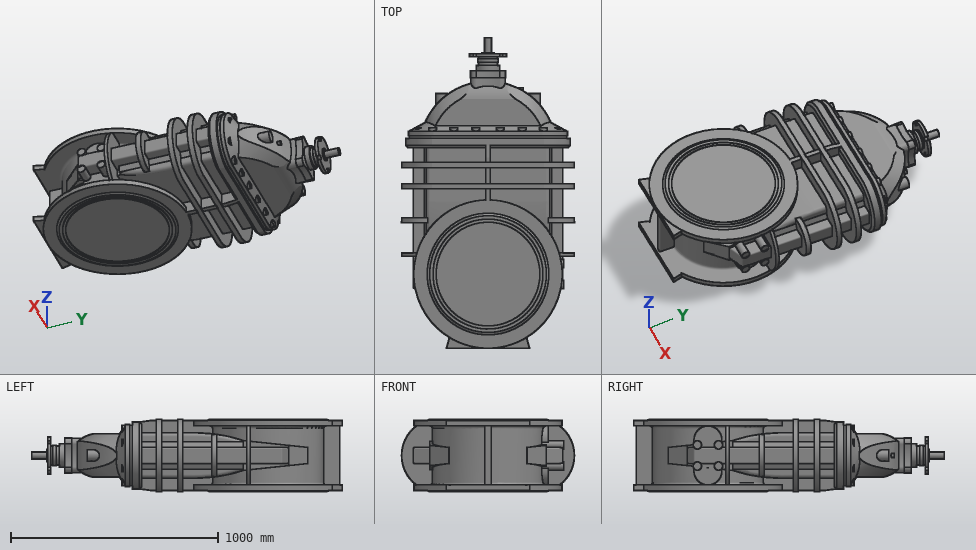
import cadquery as cq
import math


FLANGE_RADIUS = 358.0
FLANGE_OUTER_Z = 169.0
FLANGE_THICKNESS = 27.0
FLANGE_INNER_Z = FLANGE_OUTER_Z - FLANGE_THICKNESS
FACE_Z = 175.0
FACE_RADIUS = 294.0
FACE_STEP_RADIUS = 282.0
BORE_RADIUS = 500.0 / 2
SEAL_GROOVE_RADIUS = 265.0
SEAL_GROOVE_DEPTH = 3.0
BARREL_RADIUS = 268.0
BARREL_FILLET = 12.0

FOOT_HALF_WIDTH = 200.0
FOOT_TOP_HALF_WIDTH = 187.0
FOOT_HEIGHT = 50.0
FOOT_THICKNESS = 25.0
FOOT_WEB_WIDTH = 30.0
FOOT_WEB_SETBACK = 12.0
FOOT_WEB_FILLET = 6.0

HOUSING_TOP_Y = 629.0
HOUSING_HALF_WIDTH = 297.0
HOUSING_HALF_DEPTH = 110.0
HOUSING_TAPER_Y = 349.0
HOUSING_END_Y = 120.0
HOUSING_END_HALF_DEPTH = 72.0
HOUSING_FILLET = 18.0
TAIL_END_Y = -192.0
TAIL_END_HALF_DEPTH = 39.0

RAIL_X = 361.0
RAIL_HALF_DEPTH = 39.0
RAIL_FILLET = 7.0
RAIL_END_Y = -67.0
RAIL_KNEE = (280.0, -100.0)
RAIL_TIP = (189.0, TAIL_END_Y)
RAIL_FOOT_X = 308.0
RAIL_FOOT_HALF_DEPTH = 67.0

RIB_X = 834.0 / 2
RIB_STRAIGHT_X = 270.0
FULL_RIBS = ((512.0, 539.0), (410.0, 436.0))
CRESCENT_RIB = (247.0, 273.0)
CRESCENT_RIB_X = 277.0
CRESCENT_RIB_HALF_DEPTH = 95.0
LOWER_RIB = (85.0, 102.0)
SPINE_WIDTH = 24.0
SPINE_END_Y = 255.0
SPINE_TAPER_Y = 563.0

BODY_FLANGE_X = 397.0
BODY_FLANGE_HALF_DEPTH = 162.0
BODY_FLANGE_BOTTOM_Y = 620.0
BODY_FLANGE_TOP_Y = 655.0
BODY_FLANGE_TAPER = 12.0
BODY_FLANGE_TAPER_INSET = 12.0
BONNET_FLANGE_X = 383.0
BONNET_FLANGE_HALF_DEPTH = 150.0
BONNET_FLANGE_STRAIGHT_X = 264.0
BONNET_FLANGE_STEP_Y = 668.0
BONNET_FLANGE_STEP = 3.0
BONNET_FLANGE_TOP_Y = 687.0
SKIRT_TOP_Y = 731.0
SKIRT_TOP_HALF_DEPTH = 80.0

DOME_CENTRE_Y = 599.0
DOME_RADIUS = 331.0
DOME_HALF_DEPTH = 105.0
DOME_CROWN_Y = 845.0
DOME_CROWN_MID = (888.0, 88.0)
DOME_APEX = (DOME_CENTRE_Y + DOME_RADIUS, 54.0)
CONE_BASE_Y = 738.0
CONE_BASE_RADIUS = 307.0
CONE_TOP_RADIUS = 279.0

BOLT_DIAMETER = 39.0
BOLT_TOP_Y = 705.0
BOLT_PLACES = ((58.0, 127.0), (165.0, 127.0), (267.0, 127.0), (330.0, 60.0))

PIN_DIAMETER = 55.0
PIN_X = 225.0
PIN_TOP_Y = 872.0
PLUG_DIAMETER = 21.0
PLUG_X = 160.0
PLUG_TOP_Y = 898.0
PIN_ROOT_Y = 749.0

HEAD_WIDTH = 170.0
HEAD_LOBE_RADIUS = 55.0 / 2
HEAD_LOBE_CENTRE = HEAD_WIDTH / 2 - HEAD_LOBE_RADIUS
HEAD_WAIST = 76.0
HEAD_BOTTOM_Y = 884.0
HEAD_SPLIT_Y = 946.0
HEAD_SPLIT_STEP = 1.0
HEAD_TOP_Y = 981.0
COLLAR_DIAMETER = 115.0
COLLAR_TOP_Y = 1006.0
NECK_DIAMETER = 100.0
NECK_GROOVE_DIAMETER = 93.0
NECK_GROOVE_TOP_Y = 1021.0
NECK_TOP_Y = 1038.0
DISC_DIAMETER = 180.0
DISC_BOTTOM_Y = 1047.0
DISC_TOP_Y = 1063.0
DISC_SLOT_WIDTH = 20.0
DISC_SLOT_INNER_RADIUS = 69.0
HUB_DIAMETER = 60.0
HUB_TOP_Y = 1068.0
STEM_DIAMETER = 36.0
STEM_TOP_Y = 1498.0 - FLANGE_RADIUS

BOSS_DIAMETER = 40.0
BOSS_X = 365.0
BOSS_Y = 51.0
BOSS_Z = 51.0
BOSS_ROOT_X = 210.0
PAD_WIDTH = 135.0
PAD_LENGTH = 2 * FLANGE_INNER_Z
PAD_X = 290.0


def across(y):
    """Workplane in XZ at height y: local axes are X and Z, extrusion goes to +Y."""
    return cq.Workplane(cq.Plane((0, y, 0), (-1, 0, 0), (0, 1, 0)))


def cylinder_y(diameter, y_bottom, y_top, x=0.0, z=0.0):
    return across(y_bottom).center(-x, z).circle(diameter / 2).extrude(y_top - y_bottom)


def arc_ended(plane, straight_x, end_x, half_depth):
    """Long outline with straight long sides and one arc at each X end."""
    return (
        plane.moveTo(-straight_x, half_depth)
        .lineTo(straight_x, half_depth)
        .threePointArc((end_x, 0), (straight_x, -half_depth))
        .lineTo(-straight_x, -half_depth)
        .threePointArc((-end_x, 0), (-straight_x, half_depth))
        .close()
    )


def arc_ended_plate(straight_x, end_x, half_depth, y_bottom, y_top):
    return arc_ended(across(y_bottom), straight_x, end_x, half_depth).extrude(y_top - y_bottom)


def side_prism(points, half_width):
    """Prism along X from (y, z) points."""
    return cq.Workplane("YZ").polyline(points).close().extrude(half_width, both=True)


def barrel():
    fillet_dip = BARREL_FILLET * (1 - math.sqrt(0.5))
    half = (
        cq.Workplane("XZ")
        .lineTo(BARREL_RADIUS, 0)
        .lineTo(BARREL_RADIUS, FLANGE_INNER_Z - BARREL_FILLET)
        .threePointArc(
            (BARREL_RADIUS + fillet_dip, FLANGE_INNER_Z - fillet_dip),
            (BARREL_RADIUS + BARREL_FILLET, FLANGE_INNER_Z),
        )
        .lineTo(FLANGE_RADIUS, FLANGE_INNER_Z)
        .lineTo(FLANGE_RADIUS, FLANGE_OUTER_Z)
        .lineTo(FACE_RADIUS, FLANGE_OUTER_Z)
        .lineTo(FACE_STEP_RADIUS, FACE_Z)
        .lineTo(SEAL_GROOVE_RADIUS, FACE_Z)
        .lineTo(SEAL_GROOVE_RADIUS, FACE_Z - SEAL_GROOVE_DEPTH)
        .lineTo(BORE_RADIUS, FACE_Z - SEAL_GROOVE_DEPTH)
        .lineTo(BORE_RADIUS, FACE_Z)
        .lineTo(0, FACE_Z)
        .close()
        .revolve(360, (0, 0), (0, 1))
    )
    return half.union(half.mirror("XY"))


def feet():
    bottom = -FLANGE_RADIUS
    foot = (
        cq.Workplane("XY")
        .workplane(offset=FLANGE_INNER_Z)
        .polyline([
            (-FOOT_HALF_WIDTH, bottom),
            (FOOT_HALF_WIDTH, bottom),
            (FOOT_TOP_HALF_WIDTH, bottom + FOOT_HEIGHT),
            (-FOOT_TOP_HALF_WIDTH, bottom + FOOT_HEIGHT),
        ])
        .close()
        .extrude(FOOT_THICKNESS)
    )
    web_length = FLANGE_RADIUS - FOOT_WEB_SETBACK
    web = (
        cq.Workplane("XY")
        .box(FOOT_WEB_WIDTH, web_length, 2 * FLANGE_INNER_Z)
        .edges("|Z and <Y")
        .fillet(FOOT_WEB_FILLET)
        .translate((0, -web_length / 2, 0))
    )
    return foot.union(foot.mirror("XY")).union(web)


def housing():
    upper = (
        cq.Workplane("YZ")
        .moveTo(HOUSING_TOP_Y, HOUSING_HALF_DEPTH)
        .lineTo(HOUSING_TAPER_Y, HOUSING_HALF_DEPTH)
        .tangentArcPoint((HOUSING_END_Y, HOUSING_END_HALF_DEPTH), relative=False)
        .lineTo(HOUSING_END_Y, 0)
        .lineTo(HOUSING_TOP_Y, 0)
        .close()
        .extrude(HOUSING_HALF_WIDTH, both=True)
    )
    upper = upper.union(upper.mirror("XY"))
    outer_corners = upper.faces("<X or >X").edges("not |Z")
    upper = outer_corners.fillet(HOUSING_FILLET)
    tail = side_prism([
        (HOUSING_END_Y, HOUSING_END_HALF_DEPTH),
        (TAIL_END_Y, TAIL_END_HALF_DEPTH),
        (TAIL_END_Y, -TAIL_END_HALF_DEPTH),
        (HOUSING_END_Y, -HOUSING_END_HALF_DEPTH),
    ], RAIL_KNEE[0])
    return upper.union(tail.intersect(rail_prism(HOUSING_HALF_DEPTH)))


def rail_prism(half_depth):
    """Outline across both guide rails, with the lower ends bending in to the barrel."""
    right = [(RAIL_X, HOUSING_TOP_Y), (RAIL_X, RAIL_END_Y), RAIL_KNEE, RAIL_TIP]
    left = [(-x, y) for x, y in reversed(right)]
    return cq.Workplane("XY").polyline(right + left).close().extrude(half_depth, both=True)


def rails():
    rail = rail_prism(RAIL_HALF_DEPTH).faces("<Z or >Z or <X or >X").edges().fillet(RAIL_FILLET)
    root = (
        across(HOUSING_END_Y)
        .polyline([
            (-RAIL_FOOT_X, RAIL_HALF_DEPTH),
            (-HOUSING_HALF_WIDTH, RAIL_FOOT_HALF_DEPTH),
            (HOUSING_HALF_WIDTH, RAIL_FOOT_HALF_DEPTH),
            (RAIL_FOOT_X, RAIL_HALF_DEPTH),
            (RAIL_FOOT_X, -RAIL_HALF_DEPTH),
            (HOUSING_HALF_WIDTH, -RAIL_FOOT_HALF_DEPTH),
            (-HOUSING_HALF_WIDTH, -RAIL_FOOT_HALF_DEPTH),
            (-RAIL_FOOT_X, -RAIL_HALF_DEPTH),
        ])
        .close()
        .extrude(HOUSING_TOP_Y - HOUSING_END_Y)
    )
    return rail.union(root)


def ribs():
    body = cq.Workplane("XY")
    for bottom, top in FULL_RIBS:
        body = body.union(arc_ended_plate(RIB_STRAIGHT_X, RIB_X, FACE_Z, bottom, top))

    bottom, top = CRESCENT_RIB
    body = body.union(
        arc_ended_plate(CRESCENT_RIB_X, RIB_X, CRESCENT_RIB_HALF_DEPTH, bottom, top)
    )

    bottom, top = LOWER_RIB
    between_flanges = cq.Workplane("XY").box(
        2 * RIB_X, 2 * HOUSING_TOP_Y, 2 * FLANGE_INNER_Z
    )
    lower = arc_ended_plate(RIB_STRAIGHT_X, RIB_X, FACE_Z, bottom, top).intersect(between_flanges)
    return body.union(lower)


def spine():
    """Web along the middle of the housing, on both broad sides."""
    return side_prism([
        (SPINE_END_Y, FLANGE_OUTER_Z),
        (SPINE_TAPER_Y, FLANGE_OUTER_Z),
        (BODY_FLANGE_BOTTOM_Y, BODY_FLANGE_HALF_DEPTH),
        (BODY_FLANGE_BOTTOM_Y, -BODY_FLANGE_HALF_DEPTH),
        (SPINE_TAPER_Y, -FLANGE_OUTER_Z),
        (SPINE_END_Y, -FLANGE_OUTER_Z),
    ], SPINE_WIDTH / 2)


def arc_ended_loft(lower, upper, y_bottom, y_top):
    """Tapered plate between two (straight_x, end_x, half_depth) outlines."""
    start = arc_ended(across(y_bottom), *lower)
    return arc_ended(start.workplane(offset=y_top - y_bottom), *upper).loft(ruled=True)


def joint_flanges():
    body_outline = (RIB_STRAIGHT_X, BODY_FLANGE_X, BODY_FLANGE_HALF_DEPTH)
    tapered_outline = (
        RIB_STRAIGHT_X,
        BODY_FLANGE_X - BODY_FLANGE_TAPER_INSET,
        BODY_FLANGE_HALF_DEPTH - BODY_FLANGE_TAPER_INSET,
    )
    bonnet_outline = (BONNET_FLANGE_STRAIGHT_X, BONNET_FLANGE_X, BONNET_FLANGE_HALF_DEPTH)
    step_outline = (
        BONNET_FLANGE_STRAIGHT_X,
        BONNET_FLANGE_X - BONNET_FLANGE_STEP,
        BONNET_FLANGE_HALF_DEPTH - BONNET_FLANGE_STEP,
    )
    dome_end_x = math.sqrt(DOME_RADIUS**2 - (SKIRT_TOP_Y - DOME_CENTRE_Y) ** 2)
    skirt_outline = (dome_end_x - SKIRT_TOP_HALF_DEPTH, dome_end_x, SKIRT_TOP_HALF_DEPTH)

    taper_y = BODY_FLANGE_BOTTOM_Y - BODY_FLANGE_TAPER
    body = arc_ended_loft(tapered_outline, body_outline, taper_y, BODY_FLANGE_BOTTOM_Y)
    body = body.union(arc_ended_plate(*body_outline, BODY_FLANGE_BOTTOM_Y, BODY_FLANGE_TOP_Y))
    body = body.union(arc_ended_plate(*bonnet_outline, BONNET_FLANGE_STEP_Y, BONNET_FLANGE_TOP_Y))
    body = body.union(arc_ended_plate(*step_outline, BODY_FLANGE_TOP_Y, BONNET_FLANGE_STEP_Y))
    return body.union(
        arc_ended_loft(bonnet_outline, skirt_outline, BONNET_FLANGE_TOP_Y, SKIRT_TOP_Y)
    )


def dome():
    body = (
        cq.Workplane("XY")
        .moveTo(-DOME_RADIUS, DOME_CENTRE_Y)
        .threePointArc((0, DOME_CENTRE_Y + DOME_RADIUS), (DOME_RADIUS, DOME_CENTRE_Y))
        .close()
        .extrude(DOME_HALF_DEPTH, both=True)
    )
    base_y = BODY_FLANGE_TOP_Y
    side = (
        cq.Workplane("YZ")
        .moveTo(base_y, DOME_HALF_DEPTH)
        .lineTo(DOME_CROWN_Y, DOME_HALF_DEPTH)
        .threePointArc(DOME_CROWN_MID, DOME_APEX)
        .lineTo(DOME_APEX[0], -DOME_APEX[1])
        .threePointArc(
            (DOME_CROWN_MID[0], -DOME_CROWN_MID[1]),
            (DOME_CROWN_Y, -DOME_HALF_DEPTH),
        )
        .lineTo(base_y, -DOME_HALF_DEPTH)
        .close()
        .extrude(DOME_RADIUS, both=True)
    )
    body = body.intersect(side)

    cone = (
        cq.Workplane("XY")
        .center(0, CONE_BASE_Y)
        .circle(CONE_BASE_RADIUS)
        .workplane(offset=DOME_HALF_DEPTH)
        .center(0, DOME_CENTRE_Y - CONE_BASE_Y)
        .circle(CONE_TOP_RADIUS)
        .loft(ruled=True)
    )
    return body.intersect(cone.union(cone.mirror("XY")))


def dome_fittings():
    body = cylinder_y(PLUG_DIAMETER, PIN_ROOT_Y, PLUG_TOP_Y, PLUG_X)
    for side in (-1, 1):
        body = body.union(cylinder_y(PIN_DIAMETER, PIN_ROOT_Y, PIN_TOP_Y, side * PIN_X))
        for x, z in BOLT_PLACES:
            for face in (-1, 1):
                bolt = cylinder_y(BOLT_DIAMETER, BODY_FLANGE_TOP_Y, BOLT_TOP_Y, side * x, face * z)
                body = body.union(bolt)
    return body


def lobed_block(lobe_radius, y_bottom, y_top):
    """Square block with a round lobe at each corner and hollowed sides."""
    c = HEAD_LOBE_CENTRE
    edge = c + lobe_radius
    diagonal = c + lobe_radius * math.sqrt(0.5)
    return (
        across(y_bottom)
        .moveTo(-c, edge)
        .threePointArc((0, HEAD_WAIST), (c, edge))
        .threePointArc((diagonal, diagonal), (edge, c))
        .threePointArc((HEAD_WAIST, 0), (edge, -c))
        .threePointArc((diagonal, -diagonal), (c, -edge))
        .threePointArc((0, -HEAD_WAIST), (-c, -edge))
        .threePointArc((-diagonal, -diagonal), (-edge, -c))
        .threePointArc((-HEAD_WAIST, 0), (-edge, c))
        .threePointArc((-diagonal, diagonal), (-c, edge))
        .close()
        .extrude(y_top - y_bottom)
    )


def slotted_disc():
    disc = cylinder_y(DISC_DIAMETER, DISC_BOTTOM_Y, DISC_TOP_Y)
    thickness = DISC_TOP_Y - DISC_BOTTOM_Y
    slot_length = DISC_DIAMETER / 2
    slot = (
        across(DISC_BOTTOM_Y)
        .center(DISC_SLOT_INNER_RADIUS + slot_length / 2, 0)
        .rect(slot_length, DISC_SLOT_WIDTH)
        .extrude(thickness)
    )
    for angle in (45, 135, 225, 315):
        disc = disc.cut(slot.rotate((0, 0, 0), (0, 1, 0), angle))
    return disc


def head_and_stem():
    body = lobed_block(HEAD_LOBE_RADIUS - HEAD_SPLIT_STEP, HEAD_BOTTOM_Y, HEAD_SPLIT_Y)
    body = body.union(lobed_block(HEAD_LOBE_RADIUS, HEAD_SPLIT_Y, HEAD_TOP_Y))
    body = body.union(slotted_disc())
    steps = (
        (COLLAR_DIAMETER, HEAD_TOP_Y, COLLAR_TOP_Y),
        (NECK_GROOVE_DIAMETER, COLLAR_TOP_Y, NECK_GROOVE_TOP_Y),
        (NECK_DIAMETER, NECK_GROOVE_TOP_Y, NECK_TOP_Y),
        (NECK_GROOVE_DIAMETER, NECK_TOP_Y, DISC_BOTTOM_Y),
        (HUB_DIAMETER, DISC_TOP_Y, HUB_TOP_Y),
        (STEM_DIAMETER, HUB_TOP_Y, STEM_TOP_Y),
    )
    for diameter, y_bottom, y_top in steps:
        body = body.union(cylinder_y(diameter, y_bottom, y_top))
    return body


def side_bosses():
    pad = (
        cq.Workplane("YZ")
        .workplane(offset=BOSS_ROOT_X)
        .slot2D(PAD_LENGTH, PAD_WIDTH, 90)
        .extrude(PAD_X - BOSS_ROOT_X)
    )
    places = [(y, z) for y in (-BOSS_Y, BOSS_Y) for z in (-BOSS_Z, BOSS_Z)]
    bosses = (
        cq.Workplane("YZ")
        .workplane(offset=BOSS_ROOT_X)
        .pushPoints(places)
        .circle(BOSS_DIAMETER / 2)
        .extrude(BOSS_X - BOSS_ROOT_X)
    )
    return pad.union(bosses)


result = barrel()
for section in (
    feet(),
    housing(),
    rails(),
    ribs(),
    spine(),
    joint_flanges(),
    dome(),
    dome_fittings(),
    head_and_stem(),
    side_bosses(),
):
    result = result.union(section)